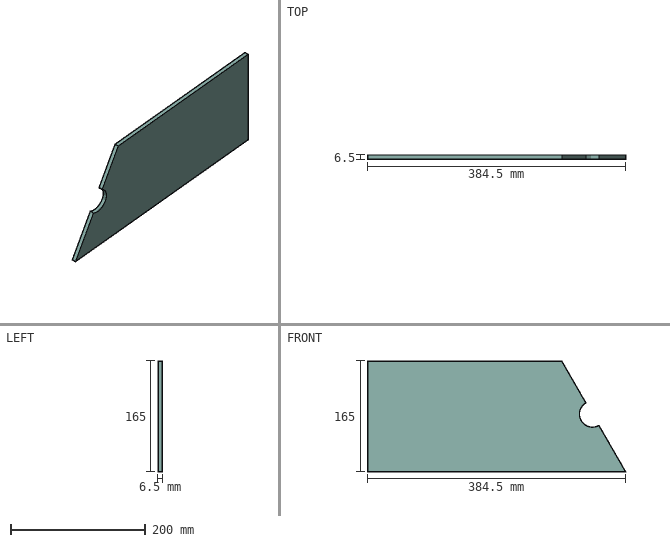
import cadquery as cq
import math

length = 384.5
height = 165.0
thickness = 6.5
slant_angle = 30.0
notch_radius = 19.2
notch_height = 86.0

slant_slope = math.tan(math.radians(slant_angle))
top_length = length - height * slant_slope
notch_x = length - notch_height * slant_slope


def make_plate():
    """Flat plate with three square edges and one slanted end."""
    outline = [(0, 0), (length, 0), (top_length, height), (0, height)]
    return cq.Workplane("XZ").polyline(outline).close().extrude(thickness)


def make_notch():
    """Round cutter through the full thickness."""
    return (
        cq.Workplane("XZ")
        .center(notch_x, notch_height)
        .circle(notch_radius)
        .extrude(thickness)
    )


result = make_plate().cut(make_notch())